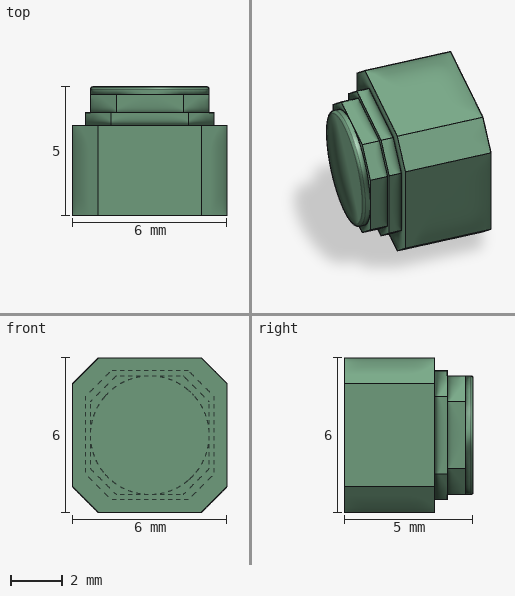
import cadquery as cq

body_width = 6.0
total_depth = 5.0

corner_cut = 1.0
body_depth = 3.5
collar_width = 5.0
collar_depth = 0.5
neck_width = 4.6
neck_depth = 0.7

cap_diameter = neck_width
cap_depth = total_depth - body_depth - collar_depth - neck_depth
cap_edge_radius = 0.1

front_y = -total_depth / 2
collar_y = front_y + body_depth
neck_y = collar_y + collar_depth
cap_y = neck_y + neck_depth


def cut_corner_block(width, depth, start_y):
    """Square block with cut corners, running from start_y toward +Y."""
    return (
        cq.Workplane("XZ", origin=(0, start_y, 0))
        .rect(width, width)
        .extrude(-depth)
        .edges("|Y")
        .chamfer(corner_cut)
    )


def round_cap():
    """Round disc at the back with a softened outer edge."""
    return (
        cq.Workplane("XZ", origin=(0, cap_y, 0))
        .circle(cap_diameter / 2)
        .extrude(-cap_depth)
        .faces(">Y")
        .edges()
        .fillet(cap_edge_radius)
    )


body = cut_corner_block(body_width, body_depth, front_y)
collar = cut_corner_block(collar_width, collar_depth, collar_y)
neck = cut_corner_block(neck_width, neck_depth, neck_y)

result = body.union(collar).union(neck).union(round_cap())